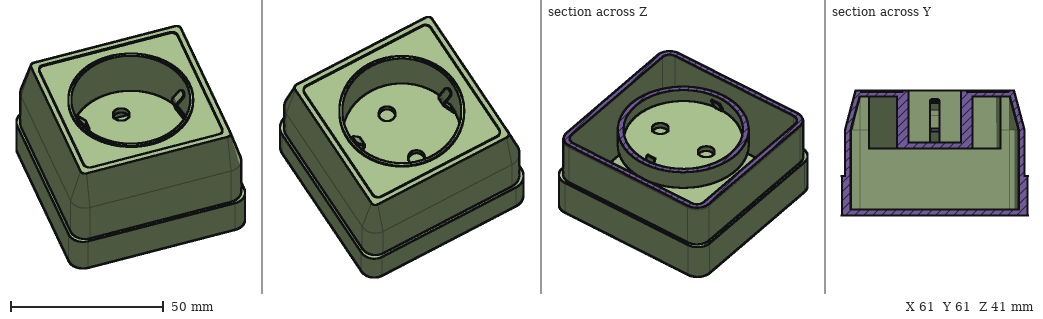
import cadquery as cq
import math

BASE_SIDE = 61.0
BASE_HEIGHT = 13.0
COVER_SIDE = 59.0
TAPER_START = 28.0
TOTAL_HEIGHT = 41.0
TAPER_ANGLE = 15.0
CORNER_RADIUS = 5.0

WALL = 2.0
CAVITY_SIDE = COVER_SIDE - 2 * WALL
CAVITY_CORNER_RADIUS = CORNER_RADIUS - WALL
CAVITY_TOP = TOTAL_HEIGHT - WALL

PANEL_SIDE = 48.0
PANEL_CORNER_RADIUS = 2.0
PANEL_DEPTH = 0.5

CUP_DIAMETER = 39.0
RIM_DIAMETER = 41.0
CUP_OUTER_DIAMETER = CUP_DIAMETER + 2 * WALL
CUP_DEPTH = 17.0
CUP_FLOOR = TOTAL_HEIGHT - CUP_DEPTH
CUP_UNDERSIDE = CUP_FLOOR - WALL

PIN_DIAMETER = 5.5
PIN_SPACING = 19.0

STRIP_WIDTH = 3.2
STRIP_THICKNESS = 0.5
BEND_RADIUS = 2.25
BEND_Y = 17.15
BEND_DEPTH = 7.4
BEND_Z = TOTAL_HEIGHT - BEND_DEPTH
UPPER_LEG_LENGTH = 4.15
LEG_END_RADIUS = 1.35
STRIP_FOOT_Z = CUP_FLOOR - WALL / 2

UPPER_LEG_ANGLE = 40.0
LOWER_LEG_ANGLE = 25.0


def rounded_block(side, corner_radius, bottom, top):
    """Square block on the Z axis with rounded upright edges."""
    block = cq.Workplane("XY").workplane(offset=bottom).rect(side, side).extrude(top - bottom)
    return block.edges("|Z").fillet(corner_radius)


def tapered_block(side, corner_radius, bottom, top):
    """Rounded square block whose sides lean inwards by the taper angle."""
    outline = cq.Sketch().rect(side, side).vertices().fillet(corner_radius)
    base_plane = cq.Workplane("XY").workplane(offset=bottom)
    return base_plane.placeSketch(outline).extrude(top - bottom, taper=TAPER_ANGLE)


def cylinder(diameter, bottom, top):
    """Upright cylinder on the Z axis."""
    return cq.Workplane("XY").workplane(offset=bottom).circle(diameter / 2).extrude(top - bottom)


def make_housing():
    """Hollow housing with a closed floor."""
    base = rounded_block(BASE_SIDE, CORNER_RADIUS, 0, BASE_HEIGHT)
    cover = rounded_block(COVER_SIDE, CORNER_RADIUS, BASE_HEIGHT, TAPER_START)
    crown = tapered_block(COVER_SIDE, CORNER_RADIUS, TAPER_START, TOTAL_HEIGHT)
    cavity = rounded_block(CAVITY_SIDE, CAVITY_CORNER_RADIUS, WALL, TAPER_START)
    crown_cavity = tapered_block(CAVITY_SIDE, CAVITY_CORNER_RADIUS, TAPER_START, CAVITY_TOP)
    return base.union(cover).union(crown).cut(cavity).cut(crown_cavity)


def add_panel_and_cup(body):
    """Sink the panel, then add the cup with its rim and pin holes."""
    panel_level = TOTAL_HEIGHT - PANEL_DEPTH
    body = body.cut(rounded_block(PANEL_SIDE, PANEL_CORNER_RADIUS, panel_level, TOTAL_HEIGHT))
    body = body.union(cylinder(CUP_OUTER_DIAMETER, CUP_UNDERSIDE, panel_level))
    body = body.union(cylinder(RIM_DIAMETER, panel_level, TOTAL_HEIGHT))
    body = body.cut(cylinder(CUP_DIAMETER, CUP_FLOOR, TOTAL_HEIGHT))
    pins = (
        cq.Workplane("XY")
        .workplane(offset=CUP_UNDERSIDE)
        .pushPoints([(-PIN_SPACING / 2, 0), (PIN_SPACING / 2, 0)])
        .circle(PIN_DIAMETER / 2)
        .extrude(WALL)
    )
    return body.cut(pins)


def bend_point(radius, angle):
    """Point (y, z) around the bend axis; the angle is measured upwards from -Y."""
    turn = math.radians(angle)
    return (BEND_Y - radius * math.cos(turn), BEND_Z + radius * math.sin(turn))


def make_contact():
    """Earth contact at +Y: an upper leg with a rounded end, a bend and a lower leg rooted in the cup."""
    inner_radius = BEND_RADIUS - STRIP_THICKNESS
    middle_angle = (UPPER_LEG_ANGLE - LOWER_LEG_ANGLE) / 2
    lower_slope = math.tan(math.radians(LOWER_LEG_ANGLE))

    def foot(radius):
        """End (y, z) of a lower-leg face, sunk into the cup wall and floor."""
        y, z = bend_point(radius, -LOWER_LEG_ANGLE)
        return (y + (z - STRIP_FOOT_Z) * lower_slope, STRIP_FOOT_Z)

    lower_strip = (
        cq.Workplane("YZ")
        .moveTo(*foot(BEND_RADIUS))
        .lineTo(*bend_point(BEND_RADIUS, -LOWER_LEG_ANGLE))
        .threePointArc(bend_point(BEND_RADIUS, middle_angle), bend_point(BEND_RADIUS, UPPER_LEG_ANGLE))
        .lineTo(*bend_point(inner_radius, UPPER_LEG_ANGLE))
        .threePointArc(bend_point(inner_radius, middle_angle), bend_point(inner_radius, -LOWER_LEG_ANGLE))
        .lineTo(*foot(inner_radius))
        .close()
        .extrude(STRIP_WIDTH / 2, both=True)
    )

    lean = math.radians(UPPER_LEG_ANGLE)
    leg_plane = cq.Plane(
        origin=(0, *bend_point(BEND_RADIUS, UPPER_LEG_ANGLE)),
        xDir=(1, 0, 0),
        normal=(0, -math.cos(lean), math.sin(lean)),
    )
    upper_leg = (
        cq.Workplane(leg_plane)
        .rect(STRIP_WIDTH, UPPER_LEG_LENGTH)
        .extrude(-STRIP_THICKNESS)
        .translate(leg_plane.yDir * (UPPER_LEG_LENGTH / 2))
    )
    free_end = upper_leg.faces(cq.selectors.DirectionMinMaxSelector(leg_plane.yDir))
    end_corners = free_end.edges(cq.selectors.ParallelDirSelector(leg_plane.zDir))
    upper_leg = end_corners.fillet(LEG_END_RADIUS)
    return lower_strip.union(upper_leg)


result = add_panel_and_cup(make_housing())
contact = make_contact()
for turn_angle in (0, 180):
    result = result.union(contact.rotate((0, 0, 0), (0, 0, 1), turn_angle))